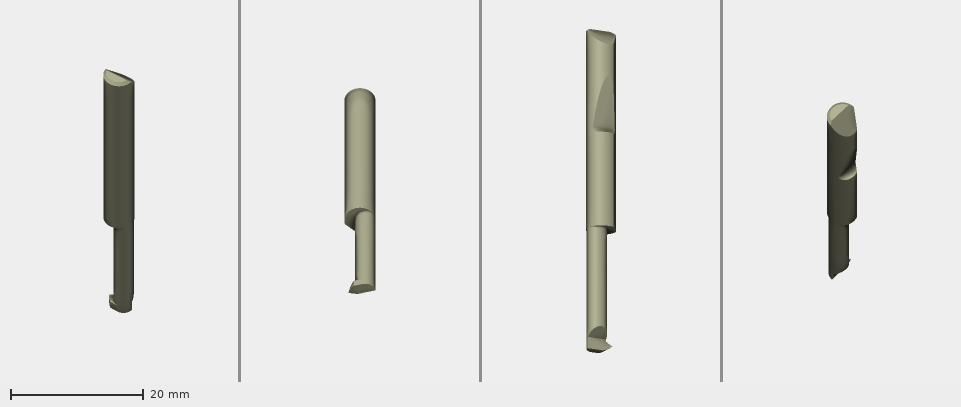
import cadquery as cq
import math


overall_length = 50.8
shank_diameter = 4.76
shank_radius = shank_diameter / 2
end_chamfer_width = 0.48
end_chamfer_height = 0.4

bevel_start_y = -0.55

flat_normal_angle = 144.5
flat_distance = 2.0

notch_top_z = overall_length - 8.05
notch_bottom_z = overall_length - 16.9
notch_deepest_z = overall_length - 16.1
notch_depth = 1.25
notch_lip_rise = 0.3

neck_length = 19.05
neck_diameter = 3.1
neck_radius = neck_diameter / 2
neck_x = shank_radius - neck_radius
neck_left_x = neck_x - neck_radius

rake_y = 0.06

clearance_height = 1.8

tooth_tip_x = -1.83
tooth_tip_z = 0.8
tooth_half_angle = 30
block_left_x = -0.57
block_height = 1.35
bottom_corner_x = -0.19
flank_sagitta = 0.1
tooth_half_height = (neck_left_x - tooth_tip_x) * math.tan(math.radians(tooth_half_angle))

margin = 1.0


def prism_along_x(points):
    """Cutting prism with a YZ outline that spans the whole bar in X."""
    return cq.Workplane("YZ").polyline(points).close().extrude(shank_diameter, both=True)


def make_shank():
    """Round blank, turned as a half section with a chamfered top edge."""
    half_section = [
        (0, neck_length),
        (shank_radius, neck_length),
        (shank_radius, overall_length - end_chamfer_height),
        (shank_radius - end_chamfer_width, overall_length),
        (0, overall_length),
    ]
    return cq.Workplane("XZ").polyline(half_section).close().revolve(360, (0, 0), (0, 1))


def make_end_bevel():
    """Wedge removed from the back of the shank end."""
    run = shank_radius + margin - bevel_start_y
    return prism_along_x([
        (bevel_start_y, overall_length),
        (bevel_start_y + run, overall_length),
        (bevel_start_y + run, overall_length - run),
    ])


def make_side_flat():
    """Block removed outside the long flat of the shank."""
    block = cq.Workplane("XY").box(
        shank_diameter, 2 * shank_diameter, overall_length, centered=(False, True, False)
    )
    block = block.translate((flat_distance, 0, neck_length))
    return block.rotate((0, 0, 0), (0, 0, 1), flat_normal_angle)


def make_notch():
    """Notch with a long ramp and a short rounded lower end."""
    floor_y = shank_radius - notch_depth
    outer_y = shank_radius + margin
    return (
        cq.Workplane("YZ")
        .moveTo(outer_y, notch_top_z)
        .lineTo(shank_radius, notch_top_z)
        .lineTo(floor_y, notch_deepest_z)
        .threePointArc(
            (floor_y + notch_lip_rise, notch_bottom_z + notch_lip_rise),
            (shank_radius, notch_bottom_z),
        )
        .lineTo(outer_y, notch_bottom_z)
        .close()
        .extrude(shank_diameter, both=True)
    )


def make_neck():
    """Round neck, offset from the shank axis."""
    return cq.Workplane("XY").center(neck_x, 0).circle(neck_radius).extrude(neck_length)


def make_chip_clearance():
    """Space behind the rake face, closed at the top by a sloping face."""
    run = neck_radius + margin
    return prism_along_x([
        (rake_y, -margin),
        (rake_y + run, -margin),
        (rake_y + run, clearance_height + run),
        (rake_y, clearance_height),
    ])


def make_bottom_corner():
    """Wedge removed under the tooth, from the lower tooth edge to the bottom face."""
    corner = [
        (neck_left_x, 0),
        (bottom_corner_x, 0),
        (neck_left_x, tooth_tip_z - tooth_half_height),
    ]
    return cq.Workplane("XZ").polyline(corner).close().extrude(shank_diameter, both=True)


def make_tooth():
    """Pointed profile in the rake face, relieved by an upright curved flank below the tip."""
    profile = [
        (tooth_tip_x, tooth_tip_z),
        (neck_left_x, tooth_tip_z + tooth_half_height),
        (neck_left_x, block_height),
        (neck_x, block_height),
        (neck_x, 0),
        (neck_left_x, 0),
        (neck_left_x, tooth_tip_z - tooth_half_height),
    ]
    blank = cq.Workplane("XZ").polyline(profile).close().extrude(shank_diameter, both=True)
    column = (
        cq.Workplane("XY")
        .moveTo(tooth_tip_x, rake_y)
        .sagittaArc((block_left_x, -neck_radius), -flank_sagitta)
        .lineTo(neck_x, -neck_radius)
        .lineTo(neck_x, rake_y)
        .close()
        .extrude(neck_length)
    )
    return blank.intersect(column)


shank = make_shank().cut(make_end_bevel()).cut(make_side_flat()).cut(make_notch())
neck = make_neck().cut(make_chip_clearance())
head = neck.union(make_tooth()).cut(make_bottom_corner())
result = shank.union(head)